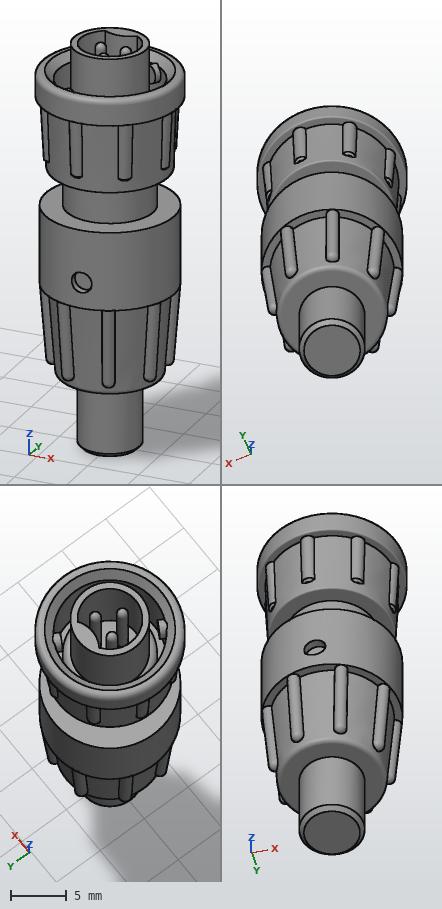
import cadquery as cq

total_height = 39.45

cable_radius = 2.95
cable_edge_chamfer = 0.45

grip_bottom = 7.05
grip_bottom_radius = 4.95
grip_top_radius = 5.6
grip_edge_round = 0.45
grip_rib_count = 8
grip_rib_radius = 0.6
grip_rib_end = 8.52
grip_rib_reach_top = 6.35
grip_rib_reach_end = 5.75
grip_rib_start_angle = 22.5

sleeve_bottom = 15.98
sleeve_top = 23.65
sleeve_radius = 6.35
side_hole_radius = 1.0
side_hole_height = 18.5
side_hole_depth = 0.8

neck_radius = 4.25
shoulder_height = 31.55
nose_radius = 3.55
nose_bore_radius = 2.9
nose_bore_floor = 31.55

key_radius = 2.8
key_tip_offset = 1.97

pin_count = 3
pin_start_angle = 30.0
pin_radius = 0.5
pin_circle_radius = 1.42
pin_tip = 39.0

ring_bottom = 27.25
ring_bottom_radius = 5.75
ring_top_radius = 6.0
ring_bottom_round = 0.15
flange_bottom = 34.25
flange_top = 36.8
flange_radius = 6.75
flange_top_round = 0.5
flange_bottom_round = 0.15
ring_rib_count = 8
ring_rib_radius = 0.7
ring_rib_end = 28.5
ring_rib_end_chamfer = 0.25
ring_rib_reach_top = 6.45
ring_rib_reach_end = 6.1
ring_rib_start_angle = 37.5

cavity_floor = 29.6
cavity_radius = 5.1
cavity_mouth_radius = 5.88

stud_radius = 0.85
stud_height = 35.25
stud_inner_reach = 4.4
stud_angles = (60.0, 240.0)


def cylinder(radius, bottom, top):
    return cq.Workplane("XY").workplane(offset=bottom).circle(radius).extrude(top - bottom)


def cone(bottom_radius, top_radius, bottom, top):
    base_center = cq.Vector(0, 0, bottom)
    return cq.Workplane(obj=cq.Solid.makeCone(bottom_radius, top_radius, top - bottom, base_center))


def rib_cylinder(radius, reach_end, reach_top, end, top):
    """Round bar in the XZ plane whose outer line runs between the two reaches."""
    foot = cq.Vector(reach_end - radius, 0, end)
    direction = cq.Vector(reach_top - reach_end, 0, top - end)
    return cq.Workplane(obj=cq.Solid.makeCylinder(radius, direction.Length, foot, direction))


def add_around(body, feature, count, start_angle):
    """Join equally spaced copies of the feature to the body."""
    for index in range(count):
        angle = start_angle + index * 360 / count
        body = body.union(feature.rotate((0, 0, 0), (0, 0, 1), angle))
    return body


def make_lower_grip():
    grip = cone(grip_bottom_radius, grip_top_radius, grip_bottom, sleeve_bottom)
    grip = grip.faces("<Z").edges().fillet(grip_edge_round)
    rib = rib_cylinder(grip_rib_radius, grip_rib_reach_end, grip_rib_reach_top, grip_rib_end, sleeve_bottom)
    ball_center = (grip_rib_reach_end - grip_rib_radius, 0, grip_rib_end)
    rib = rib.union(cq.Workplane("XY").sphere(grip_rib_radius).translate(ball_center))
    return add_around(grip, rib, grip_rib_count, grip_rib_start_angle)


def make_sleeve():
    sleeve = cylinder(sleeve_radius, sleeve_bottom, sleeve_top)
    side_hole = (
        cq.Workplane("XZ", origin=(0, -sleeve_radius, side_hole_height))
        .circle(side_hole_radius)
        .extrude(-side_hole_depth)
    )
    return sleeve.cut(side_hole)


def make_coupling_ring():
    ring = cone(ring_bottom_radius, ring_top_radius, ring_bottom, flange_bottom)
    ring = ring.faces("<Z").edges().fillet(ring_bottom_round)
    rib = rib_cylinder(ring_rib_radius, ring_rib_reach_end, ring_rib_reach_top, ring_rib_end, flange_bottom)
    rib = rib.faces("<Z").edges().chamfer(ring_rib_end_chamfer)
    ring = add_around(ring, rib, ring_rib_count, ring_rib_start_angle)

    flange = cylinder(flange_radius, flange_bottom, flange_top)
    flange = flange.faces(">Z").edges().fillet(flange_top_round)
    flange = flange.faces("<Z").edges().fillet(flange_bottom_round)

    mouth_depth = cavity_mouth_radius - cavity_radius
    cavity = cylinder(cavity_radius, cavity_floor, flange_top)
    mouth = cone(cavity_radius, cavity_mouth_radius, flange_top - mouth_depth, flange_top)
    ring = ring.union(flange).cut(cavity).cut(mouth)

    stud_outer_reach = (cavity_radius + ring_bottom_radius) / 2
    stud = (
        cq.Workplane("YZ", origin=(stud_inner_reach, 0, stud_height))
        .circle(stud_radius)
        .extrude(stud_outer_reach - stud_inner_reach)
    )
    for angle in stud_angles:
        ring = ring.union(stud.rotate((0, 0, 0), (0, 0, 1), angle))
    return ring


def make_plug():
    """Neck and hollow nose with the key and the round-tipped contact pins."""
    neck = cylinder(neck_radius, sleeve_top, shoulder_height)
    neck = neck.faces(">Z").edges().fillet(neck_radius - nose_radius)
    nose = cylinder(nose_radius, shoulder_height, total_height)

    key = cylinder(key_radius, nose_bore_floor, total_height).translate((0, key_tip_offset + key_radius, 0))
    bore = cylinder(nose_bore_radius, nose_bore_floor, total_height).cut(key)
    plug = neck.union(nose).cut(bore)

    pin = cylinder(pin_radius, nose_bore_floor, pin_tip - pin_radius)
    pin = pin.union(cq.Workplane("XY").sphere(pin_radius).translate((0, 0, pin_tip - pin_radius)))
    return add_around(plug, pin.translate((pin_circle_radius, 0, 0)), pin_count, pin_start_angle)


cable = cylinder(cable_radius, 0, grip_bottom).faces("<Z").edges().chamfer(cable_edge_chamfer)

result = (
    cable.union(make_lower_grip())
    .union(make_sleeve())
    .union(make_plug())
    .union(make_coupling_ring())
)